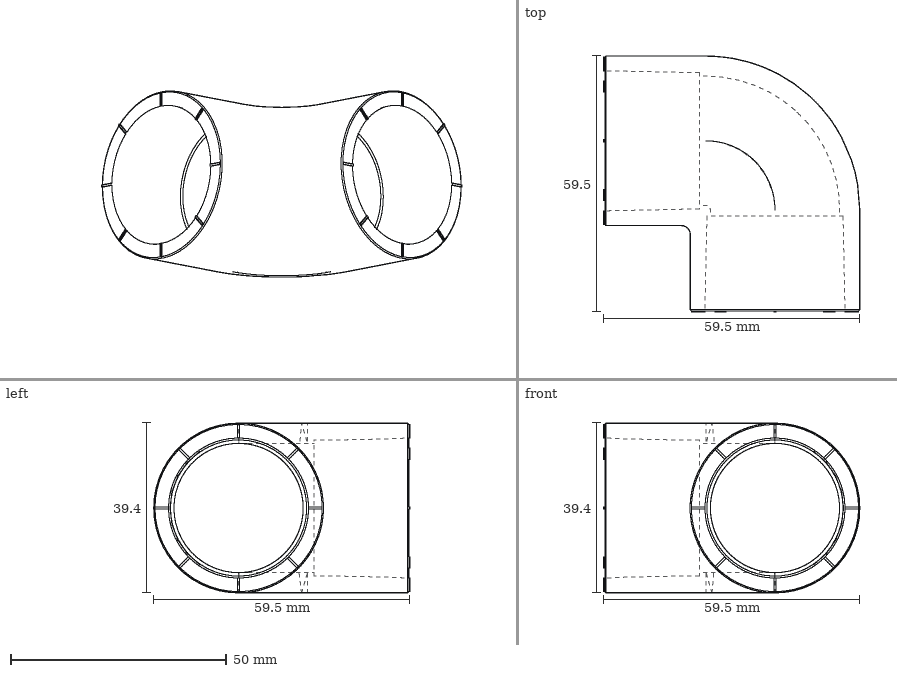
import math

import cadquery as cq


OUTER_RADIUS = 39.4 / 2
LEG_LENGTH = 39.5
BEND_RADIUS = 16.0
THROAT_RADIUS = 2.0
END_CHAMFER = 0.3

BORE_RADIUS = 15.0
SOCKET_MOUTH_RADIUS = 16.25
SOCKET_BOTTOM_RADIUS = 15.8
SOCKET_DEPTH = 22.0

RIB_COUNT = 8
RIB_WIDTH = 0.5
RIB_HEIGHT = 0.25

THROAT_STEPS = 6

THROAT_TANGENT = OUTER_RADIUS + THROAT_RADIUS


def to_second_leg(leg):
    """Turn a shape of the -X leg half a turn about the line X = Y, onto the -Y leg."""
    return leg.rotate((0, 0, 0), (1, 1, 0), 180)


def leg_body():
    """Chamfered cylinder along -X, ending where the bend and the throat begin."""
    cylinder = (
        cq.Workplane("YZ", origin=(-LEG_LENGTH, 0, 0))
        .circle(OUTER_RADIUS)
        .extrude(LEG_LENGTH)
        .faces("<X")
        .chamfer(END_CHAMFER)
    )
    slant = (THROAT_TANGENT - BEND_RADIUS) / OUTER_RADIUS
    reach = 2 * OUTER_RADIUS
    kept_region = (
        cq.Workplane("XY", origin=(0, 0, -reach))
        .moveTo(-2 * LEG_LENGTH, reach)
        .lineTo(-BEND_RADIUS, reach)
        .lineTo(-BEND_RADIUS, 0)
        .lineTo(-BEND_RADIUS - slant * reach, -reach)
        .lineTo(-2 * LEG_LENGTH, -reach)
        .close()
        .extrude(2 * reach)
    )
    return cylinder.intersect(kept_region)


def outer_bend():
    """Outer half of the bend: a half disc swept a quarter turn about the bend centre."""
    return (
        cq.Workplane("YZ", origin=(-BEND_RADIUS, 0, 0))
        .moveTo(0, -OUTER_RADIUS)
        .threePointArc((OUTER_RADIUS, 0), (0, OUTER_RADIUS))
        .close()
        .revolve(90, (-BEND_RADIUS, 0, 0), (-BEND_RADIUS, -1, 0))
    )


def throat_section(angle):
    """Half ellipse from the bend centreline to the throat fillet, at an angle around the bend."""
    cosine = math.cos(angle)
    sine = math.sin(angle)
    centreline = cq.Vector(BEND_RADIUS * (cosine - 1), BEND_RADIUS * (sine - 1), 0)
    throat = cq.Vector(
        THROAT_RADIUS * cosine - THROAT_TANGENT,
        THROAT_RADIUS * sine - THROAT_TANGENT,
        0,
    )
    inward = throat - centreline
    plane = cq.Plane(origin=centreline, xDir=inward, normal=inward.cross(cq.Vector(0, 0, 1)))
    half_height = cq.Vector(0, 0, OUTER_RADIUS)
    section_rim = cq.Edge.makeEllipse(
        max(inward.Length, OUTER_RADIUS),
        min(inward.Length, OUTER_RADIUS),
        plane.origin,
        plane.zDir,
        plane.xDir,
        angle1=-90,
        angle2=90,
    )
    diameter = cq.Edge.makeLine(centreline + half_height, centreline - half_height)
    return cq.Wire.assembleEdges([section_rim, diameter])


def throat():
    """Inner half of the bend, whose fillet radius shrinks evenly from the centreline to the throat."""
    step = math.pi / 2 / THROAT_STEPS
    sections = [throat_section(index * step) for index in range(THROAT_STEPS + 1)]
    return cq.Workplane(cq.Solid.makeLoft(sections))


def leg_cavity():
    """Tapered socket and the straight bore behind it, revolved about the X axis."""
    socket_bottom = SOCKET_DEPTH - LEG_LENGTH
    return (
        cq.Workplane("XY")
        .moveTo(-LEG_LENGTH, 0)
        .lineTo(-LEG_LENGTH, SOCKET_MOUTH_RADIUS)
        .lineTo(socket_bottom, SOCKET_BOTTOM_RADIUS)
        .lineTo(socket_bottom, BORE_RADIUS)
        .lineTo(-BEND_RADIUS, BORE_RADIUS)
        .lineTo(-BEND_RADIUS, 0)
        .close()
        .revolve(360, (0, 0, 0), (1, 0, 0))
    )


def bend_cavity():
    """Round bore swept a quarter turn about the bend centre."""
    return (
        cq.Workplane("YZ", origin=(-BEND_RADIUS, 0, 0))
        .circle(BORE_RADIUS)
        .revolve(90, (-BEND_RADIUS, 0, 0), (-BEND_RADIUS, -1, 0))
    )


def end_ribs():
    """Raised ribs spaced evenly around the flat ring at the end of the -X leg."""
    rib_plane = cq.Workplane("YZ", origin=(-LEG_LENGTH - RIB_HEIGHT, 0, 0))
    ring_outer_radius = OUTER_RADIUS - END_CHAMFER
    bars = cq.Workplane("YZ")
    for index in range(RIB_COUNT // 2):
        bar = (
            rib_plane.transformed(rotate=(0, 0, index * 360 / RIB_COUNT))
            .rect(2 * OUTER_RADIUS, RIB_WIDTH)
            .extrude(RIB_HEIGHT)
        )
        bars = bars.add(bar)
    ring = rib_plane.circle(ring_outer_radius).circle(SOCKET_MOUTH_RADIUS).extrude(RIB_HEIGHT)
    return ring.intersect(bars.combine())


body = leg_body()
body = body.union(to_second_leg(body)).union(outer_bend()).union(throat())
cavity = leg_cavity()
cavity = cavity.union(to_second_leg(cavity)).union(bend_cavity())
ribs = end_ribs()

result = body.cut(cavity).union(ribs).union(to_second_leg(ribs)).solids()